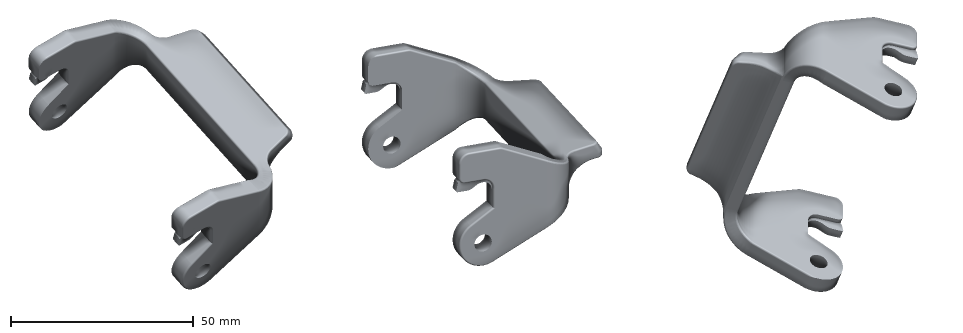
import cadquery as cq
import math


half_width = 36.0
arm_thickness = 5.05
arm_inner_x = half_width - arm_thickness
edge_radius = 0.5
joint_overlap = 1.45
diagonal = math.sqrt(0.5)

pivot_diameter = 5.1
boss_radius = 7.0
front_y = -boss_radius
top_z = 28.0
slope_angle = math.radians(25)
slope_tan = math.tan(slope_angle)
slope_cos = math.cos(slope_angle)
slope_sin = math.sin(slope_angle)
top_corner_y = 5.4
corner_radius = 3.0
hook_radius = 1.6

notch_back_y = 3.0
notch_top_z = 19.0
notch_angle = math.radians(32)
notch_corner_z = (boss_radius + notch_back_y * math.sin(notch_angle)) / math.cos(notch_angle)

nib_offset = 1.1
nib_width = 2.6
nib_bottom_z = 16.2
nib_tip_y = -7.6
nib_tip_radius = 0.5
nib_flat_start_y = -4.4
nib_arc_radius = 2.7
nib_arc_start_z = 15.2
nib_shoulder_y = -7.0
nib_shoulder_z = 19.1
nib_top_y = -5.75
nib_top_z = 19.9

bend_y = 19.0
bend_inner_radius = 6.05
bend_outer_length = 9.8
bend_center_x = arm_inner_x - bend_inner_radius
bend_outer_radius = half_width - bend_center_x

bar_front_y = bend_y + bend_inner_radius
bar_back_y = bend_y + bend_outer_length


def upper_slope_z(y):
    return top_z - (y - top_corner_y) * slope_tan


def lower_slope_z(y):
    return y * slope_tan - boss_radius / slope_cos


bar_top_z = upper_slope_z(bar_back_y)
bar_bottom_z = lower_slope_z(bar_back_y)

flap_root_y = bar_back_y - joint_overlap
flap_back_y = 41.4
flap_bottom_z = 12.45
bevel_depth = 1.7
bevel_height = 2.6
underside_radius = 9.0
underside_center_y = 37.65
flap_side_x = 23.8
flap_side_y = 32.2
flap_side_tan = math.tan(math.radians(14))
flap_corner_radius = 2.0
blend_end_x = 27.1
blend_end_y = 28.65
flap_back_x = flap_side_x - (flap_back_y - flap_side_y) * flap_side_tan


def edges_at(body, points):
    """Edges of the body whose centers lie closest to the given points."""
    return body.newObject([body.edges(cq.selectors.NearestToPointSelector(point)).val() for point in points])


def arm_blank():
    """Left arm with a plain front end and its long edges running through."""
    outline = [
        (front_y, top_z),
        (top_corner_y, top_z),
        (bend_y, upper_slope_z(bend_y)),
        (bend_y, lower_slope_z(bend_y)),
        (front_y, lower_slope_z(front_y)),
    ]
    arm = cq.Workplane("YZ", origin=(-half_width, 0, 0)).polyline(outline).close().extrude(arm_thickness)
    top_corner = (-half_width + arm_thickness / 2, top_corner_y, top_z)
    return edges_at(arm, [top_corner]).fillet(corner_radius)


def bend_arc(x_radius, y_radius, start_z, end_z):
    """Quarter of an ellipse in plan, rising or falling from the arm to the crossbar."""
    rise = end_z - start_z
    length = math.hypot(y_radius, rise)
    across = cq.Vector(-1, 0, 0)
    along = cq.Vector(0, y_radius / length, rise / length)
    center = cq.Vector(-bend_center_x, bend_y, start_z)
    normal = across.cross(along)
    if length >= x_radius:
        return cq.Edge.makeEllipse(length, x_radius, center, normal, along, 270, 360)
    return cq.Edge.makeEllipse(x_radius, length, center, normal, across, 0, 90)


def bend():
    """Left bend: level across its thickness, sloping from the arm to the crossbar."""
    arm_top_z = upper_slope_z(bend_y)
    arm_bottom_z = lower_slope_z(bend_y)
    inner_top = bend_arc(bend_inner_radius, bend_inner_radius, arm_top_z, bar_top_z)
    outer_top = bend_arc(bend_outer_radius, bend_outer_length, arm_top_z, bar_top_z)
    outer_bottom = bend_arc(bend_outer_radius, bend_outer_length, arm_bottom_z, bar_bottom_z)
    inner_bottom = bend_arc(bend_inner_radius, bend_inner_radius, arm_bottom_z, bar_bottom_z)
    arcs = [inner_top, outer_top, outer_bottom, inner_bottom]
    following = arcs[1:] + arcs[:1]
    faces = [cq.Face.makeRuledSurface(a, b) for a, b in zip(arcs, following)]
    for end in (cq.Edge.startPoint, cq.Edge.endPoint):
        corners = [end(arc) for arc in arcs]
        faces.append(cq.Face.makeFromWires(cq.Wire.makePolygon(corners, close=True)))
    return cq.Solid.makeSolid(cq.Shell.makeShell(faces))


def half_bar():
    """Left half of the crossbar."""
    size = (bend_center_x, bar_back_y - bar_front_y, bar_top_z - bar_bottom_z)
    corner = (-bend_center_x, bar_front_y, bar_bottom_z)
    return cq.Workplane("XY").box(*size, centered=False).translate(corner)


def front_profile():
    """Block with the side outline of the finished arm ends, reaching past the crossbar."""
    boss_upper = (-boss_radius * math.sin(notch_angle), boss_radius * math.cos(notch_angle))
    boss_lower = (boss_radius * slope_sin, -boss_radius * slope_cos)
    far_y = flap_back_y
    corner_mid = corner_radius * (1 - diagonal)
    hook_mid = hook_radius * (1 - diagonal)
    return (
        cq.Workplane("YZ", origin=(-half_width, 0, 0))
        .moveTo(*boss_lower)
        .threePointArc((front_y, 0), boss_upper)
        .lineTo(notch_back_y, notch_corner_z)
        .lineTo(notch_back_y, notch_top_z - corner_radius)
        .threePointArc(
            (notch_back_y - corner_mid, notch_top_z - corner_mid),
            (notch_back_y - corner_radius, notch_top_z),
        )
        .lineTo(front_y + hook_radius, notch_top_z)
        .threePointArc((front_y + hook_mid, notch_top_z + hook_mid), (front_y, notch_top_z + hook_radius))
        .lineTo(front_y, top_z - corner_radius)
        .threePointArc((front_y + corner_mid, top_z - corner_mid), (front_y + corner_radius, top_z))
        .lineTo(far_y, top_z)
        .lineTo(far_y, lower_slope_z(far_y))
        .close()
        .extrude(half_width)
    )


def bend_middle(x_radius, y_radius, z):
    """Point near the middle of a bend edge at about the given height."""
    return (-bend_center_x - x_radius * diagonal, bend_y + y_radius * diagonal, z)


def left_frame():
    """Left arm, bend and half of the crossbar, with rounded edges."""
    frame = arm_blank().union(cq.Workplane(bend())).union(half_bar())
    mid_y = bend_y / 2

    inner_edges = [
        (-arm_inner_x, mid_y, upper_slope_z(mid_y)),
        (-arm_inner_x, mid_y, lower_slope_z(mid_y)),
        bend_middle(bend_inner_radius, bend_inner_radius, bar_top_z),
        bend_middle(bend_inner_radius, bend_inner_radius, bar_bottom_z),
    ]
    frame = edges_at(frame, inner_edges).fillet(edge_radius)
    frame = frame.intersect(front_profile())

    notch_mid_z = (notch_corner_z + notch_top_z - corner_radius) / 2
    notch_slope_run = notch_back_y / 2
    notch_slope_z = notch_corner_z - notch_slope_run * math.tan(notch_angle)
    outer_edges = [
        (-half_width, mid_y, upper_slope_z(mid_y)),
        (-half_width, mid_y, lower_slope_z(mid_y)),
        bend_middle(bend_outer_radius, bend_outer_length, bar_top_z),
        bend_middle(bend_outer_radius, bend_outer_length, bar_bottom_z),
        (-half_width, notch_back_y, notch_mid_z),
        (-half_width, notch_back_y - notch_slope_run, notch_slope_z),
    ]
    return edges_at(frame, outer_edges).fillet(edge_radius)


def nib():
    """Latching nib in the hook: a hollow meeting the notch, then a flat foot with a rounded tip."""
    hollow_y = notch_back_y - nib_arc_radius
    hollow_z = nib_arc_start_z + nib_arc_radius
    arc_share = nib_arc_radius * diagonal
    root_y = notch_back_y + joint_overlap
    blank = (
        cq.Workplane("YZ", origin=(-half_width + nib_offset, 0, 0))
        .moveTo(notch_back_y, nib_arc_start_z)
        .threePointArc((hollow_y + arc_share, nib_arc_start_z + arc_share), (hollow_y, hollow_z))
        .spline([(nib_flat_start_y, nib_bottom_z)], tangents=[(-1, 0), (-1, 0)], includeCurrent=True)
        .lineTo(nib_tip_y, nib_bottom_z)
        .lineTo(nib_shoulder_y, nib_shoulder_z)
        .lineTo(nib_top_y, nib_top_z)
        .lineTo(root_y, nib_top_z)
        .lineTo(root_y, nib_arc_start_z)
        .close()
        .extrude(nib_width)
    )
    tip = (-half_width + nib_offset + nib_width / 2, nib_tip_y, nib_bottom_z)
    return edges_at(blank, [tip]).fillet(nib_tip_radius)


def half_flap():
    """Left half of the tapered grip flap with a hollowed underside and a beveled back edge."""
    underside_center_z = flap_bottom_z - underside_radius
    root_z = bar_bottom_z
    end_y = underside_center_y - math.sqrt(underside_radius**2 - (root_z - underside_center_z) ** 2)
    arc_share = underside_radius * diagonal
    profile = (
        cq.Workplane("YZ", origin=(-half_width, 0, 0))
        .moveTo(flap_root_y, bar_top_z)
        .lineTo(flap_back_y - bevel_depth, bar_top_z)
        .lineTo(flap_back_y, bar_top_z - bevel_height)
        .lineTo(flap_back_y, flap_bottom_z)
        .lineTo(underside_center_y, flap_bottom_z)
        .threePointArc(
            (underside_center_y - arc_share, underside_center_z + arc_share),
            (end_y, root_z),
        )
        .lineTo(flap_root_y, root_z)
        .close()
        .extrude(half_width)
    )
    plan = (
        cq.Workplane("XY")
        .moveTo(0, flap_back_y)
        .lineTo(-flap_back_x, flap_back_y)
        .lineTo(-flap_side_x, flap_side_y)
        .tangentArcPoint((-blend_end_x, blend_end_y), relative=False)
        .lineTo(-bend_center_x, flap_root_y)
        .lineTo(0, flap_root_y)
        .close()
        .extrude(top_z)
    )
    flap = profile.intersect(plan)

    bevel_mid_y = flap_back_y - bevel_depth / 2
    bevel_mid_x = flap_back_x + bevel_depth / 2 * flap_side_tan
    bevel_bottom_z = bar_top_z - bevel_height
    corner_edges = [
        (-flap_back_x, flap_back_y, (bevel_bottom_z + flap_bottom_z) / 2),
        (-bevel_mid_x, bevel_mid_y, bar_top_z - bevel_height / 2),
    ]
    flap = edges_at(flap, corner_edges).fillet(flap_corner_radius)

    side_mid_x = (flap_side_x + flap_back_x) / 2
    side_mid_y = (flap_side_y + flap_back_y) / 2
    rim_edges = [
        (-side_mid_x, side_mid_y, bar_top_z),
        (-flap_back_x / 2, flap_back_y, flap_bottom_z),
    ]
    return edges_at(flap, rim_edges).fillet(edge_radius)


half = left_frame().union(nib()).union(half_flap())
pivot_hole = cq.Workplane("YZ").circle(pivot_diameter / 2).extrude(-half_width)
half = half.cut(pivot_hole)
result = half.union(half.mirror("YZ"))